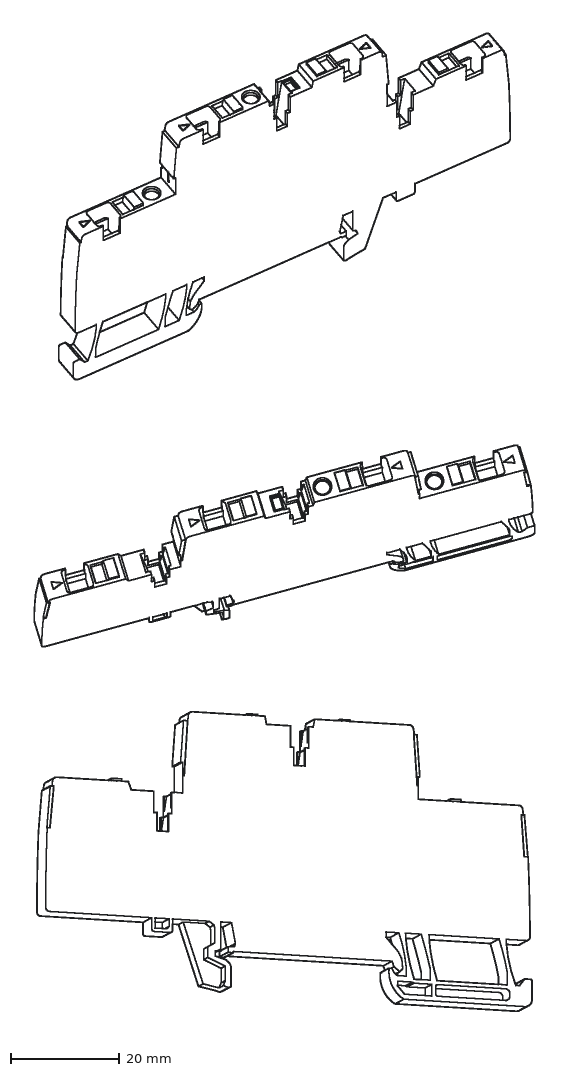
import cadquery as cq


THICKNESS = 5.1
NEAR_X = -THICKNESS / 2
FAR_X = THICKNESS / 2

UNDERSIDE = 12.4
RAIL_SEAT = 7.0
LOWER_TOP = 37.8
UPPER_TOP = 51.7
SHELF_DROP = 1.5
LOWER_SHELF = LOWER_TOP - SHELF_DROP
UPPER_SHELF = UPPER_TOP - SHELF_DROP
LOWER_HEAD_RISE = 0.6
UPPER_HEAD_RISE = 0.4
TOP_ROUND = 0.9
CORNER_ROUND = 0.8

WEB = 1.1
CATCH_WEB = 2.8
RELIEF_DEPTH = 0.2
PAD_TOP_DROP = 1.7
PAD_LENGTH = 7.9

NOTCH_MOUTH = 3.5
NOTCH_FOOT = 2.3
NOTCH_STEP_DEPTH = 4.0
NOTCH_DEPTH = 7.4
NOTCH_POCKET_MOUTH = 4.8
NOTCH_POCKET_DEPTH = 8.5
NOTCH_POCKET_OFFSET = 0.24
LOWER_NOTCH_Y = 24.6
UPPER_NOTCH_Y = -2.1

WELL_LENGTH = 4.5
WELL_WIDTH = 3.7
WELL_DEPTH = 6.65
HEAD_LENGTH = 2.0
HEAD_SLOPE = 0.3
BUTTON_FLOOR_DROP = 1.1
FUNNEL_START = 4.9
FUNNEL_END = 10.1
FUNNEL_SLOPE = 0.9
FUNNEL_INNER_SLOPE = 0.5
FUNNEL_WIDTH = 4.6
FUNNEL_PILLAR = 0.95
FUNNEL_MOUTH_DEPTH = 3.8
FUNNEL_DEPTH = 6.65
WIRE_HOLE_WIDTH = 3.6
FUNNEL_ROUND = 0.6
ARROW_TIP = 10.4
ARROW_BASE = 12.3
ARROW_WIDTH = 1.5
ARROW_DEPTH = 0.2

TERMINALS = [
    (32.4, 1, LOWER_TOP, LOWER_HEAD_RISE),
    (5.9, 1, UPPER_TOP, UPPER_HEAD_RISE),
    (-10.2, -1, UPPER_TOP, UPPER_HEAD_RISE),
    (-31.8, -1, LOWER_TOP, LOWER_HEAD_RISE),
]

TEST_HOLES = [(-7.3, UPPER_TOP), (-28.9, LOWER_TOP)]
TEST_HOLE_DIAMETER = 2.85
TEST_HOLE_MOUTH = 3.4
TEST_HOLE_DEPTH = 0.95


def slab(points, x_from=NEAR_X, x_to=FAR_X):
    """Prism along X over a closed outline of (y, z) points."""
    return cq.Workplane("YZ").workplane(offset=x_from).polyline(points).close().extrude(x_to - x_from)


def block(x_range, y_range, z_range):
    """Axis-aligned box from three (from, to) ranges."""
    sizes = [abs(end - start) for start, end in (x_range, y_range, z_range)]
    lows = [min(pair) for pair in (x_range, y_range, z_range)]
    return cq.Workplane("XY").box(*sizes, centered=False).translate(tuple(lows))


def centred(width):
    """Range of the given width about zero."""
    return (-width / 2, width / 2)


def edge_at(y, z, reach=0.1):
    """Selector for the edges along X that pass through (y, z)."""
    return cq.selectors.BoxSelector((-THICKNESS, y - reach, z - reach), (THICKNESS, y + reach, z + reach))


WING_ENDS = (47.5, -47.1)
LOWER_TOP_ENDS = (46.1, -45.6)
UPPER_TOP_ENDS = (19.6, -24.2)
UPPER_FLANKS = (20.7, -25.3)
TIER_OVERLAP_Z = 28.5
LOWER_PAD_TOP = LOWER_TOP - PAD_TOP_DROP
LOWER_PAD_BOTTOM = LOWER_PAD_TOP - PAD_LENGTH
UPPER_PAD_TOP = UPPER_TOP - PAD_TOP_DROP
UPPER_PAD_BOTTOM = UPPER_PAD_TOP - PAD_LENGTH


def lower_tier():
    """Long lower tier with tapered ends and the shelf beside the upper tier."""
    upper_outline = [
        (47.2, LOWER_PAD_BOTTOM), (46.5, LOWER_PAD_TOP),
        (46.25, LOWER_PAD_TOP), (LOWER_TOP_ENDS[0], LOWER_TOP),
        (31.3, LOWER_TOP), (30.8, LOWER_SHELF), (19.9, LOWER_SHELF), (19.9, LOWER_TOP),
        (LOWER_TOP_ENDS[1], LOWER_TOP), (-45.8, LOWER_PAD_TOP), (-46.1, LOWER_PAD_TOP),
        (-46.7, LOWER_PAD_BOTTOM),
    ]
    tier = (
        cq.Workplane("YZ").workplane(offset=NEAR_X)
        .polyline(upper_outline)
        .threePointArc((-47.0, 19.5), (WING_ENDS[1], UNDERSIDE))
        .lineTo(WING_ENDS[0], UNDERSIDE)
        .threePointArc((47.4, 22.3), (47.2, LOWER_PAD_BOTTOM))
        .close()
        .extrude(THICKNESS)
    )
    for y in WING_ENDS:
        tier = tier.edges(edge_at(y, UNDERSIDE)).fillet(CORNER_ROUND)
    for y in LOWER_TOP_ENDS:
        tier = tier.edges(edge_at(y, LOWER_TOP)).fillet(TOP_ROUND)
    return tier


def upper_tier():
    """Upper tier with a protruding marker pad on each end."""
    outline = [
        (UPPER_FLANKS[0], TIER_OVERLAP_Z), (UPPER_FLANKS[0], UPPER_PAD_BOTTOM),
        (21.1, UPPER_PAD_BOTTOM), (20.5, UPPER_PAD_TOP),
        (19.8, UPPER_PAD_TOP), (UPPER_TOP_ENDS[0], UPPER_TOP),
        (4.7, UPPER_TOP), (4.4, UPPER_SHELF), (-4.75, UPPER_SHELF), (-5.0, UPPER_TOP),
        (UPPER_TOP_ENDS[1], UPPER_TOP), (-24.5, UPPER_PAD_TOP), (-25.1, UPPER_PAD_TOP),
        (-25.6, UPPER_PAD_BOTTOM), (UPPER_FLANKS[1], UPPER_PAD_BOTTOM), (UPPER_FLANKS[1], TIER_OVERLAP_Z),
    ]
    tier = slab(outline)
    for y in UPPER_TOP_ENDS:
        tier = tier.edges(edge_at(y, UPPER_TOP)).fillet(TOP_ROUND)
    return tier


def marker_reliefs():
    """Shallow reliefs in the closed flank along the marker pads."""
    outlines = [
        [(45.9, LOWER_PAD_TOP), (46.6, LOWER_PAD_BOTTOM), (48.4, LOWER_PAD_BOTTOM), (48.4, LOWER_PAD_TOP)],
        [(19.8, UPPER_PAD_TOP), (20.4, 39.5), (21.8, 39.5), (21.8, UPPER_PAD_TOP)],
        [(-24.4, UPPER_PAD_TOP), (-25.1, 40.4), (-26.6, 40.4), (-26.6, UPPER_PAD_TOP)],
        [(-45.4, LOWER_PAD_TOP), (-46.0, LOWER_PAD_BOTTOM), (-47.5, LOWER_PAD_BOTTOM),
         (-47.5, LOWER_PAD_TOP)],
    ]
    return [slab(outline, NEAR_X, NEAR_X + RELIEF_DEPTH) for outline in outlines]


GROOVE_WIDTH = 0.5
GROOVE_DEPTH = 0.3
GROOVE_LENGTH = 3.1


def upper_end_groove():
    """Narrow upright groove below the marker pad at the -Y end of the upper tier."""
    end_face = UPPER_FLANKS[1]
    return block(
        centred(GROOVE_WIDTH), (end_face, end_face + GROOVE_DEPTH),
        (UPPER_PAD_BOTTOM - GROOVE_LENGTH, UPPER_PAD_BOTTOM),
    )


def bridge_notch(y, shelf):
    """Stepped notch across the shelf with a tapered pocket between its cheeks."""
    mouth_y = (y - NOTCH_MOUTH / 2, y + NOTCH_MOUTH / 2)
    foot_y = (y - NOTCH_FOOT / 2, y + NOTCH_FOOT / 2)
    mouth = block((NEAR_X, FAR_X), mouth_y, (shelf - NOTCH_STEP_DEPTH, shelf))
    foot = block((NEAR_X, FAR_X), foot_y, (shelf - NOTCH_DEPTH, shelf))
    pocket_y = y + NOTCH_POCKET_OFFSET
    pocket_floor = shelf - NOTCH_POCKET_DEPTH
    pocket_outline = [
        (pocket_y - NOTCH_POCKET_MOUTH / 2, shelf), (pocket_y + NOTCH_POCKET_MOUTH / 2, shelf),
        (pocket_y + NOTCH_FOOT / 2, pocket_floor), (pocket_y - NOTCH_FOOT / 2, pocket_floor),
    ]
    pocket = slab(pocket_outline, -WELL_WIDTH / 2, WELL_WIDTH / 2)
    return mouth.union(foot).union(pocket)


SHELF_POCKET_X = (-1.4, 1.1)
SHELF_POCKET_Y = (0.7, 2.2)
SHELF_POCKET_DEPTH = 0.95
RIM_STEP = 0.3


def shelf_pocket():
    """Small rectangular pocket in the upper shelf with a stepped rim."""
    left, right = SHELF_POCKET_X
    front, back = SHELF_POCKET_Y
    pocket = block(SHELF_POCKET_X, SHELF_POCKET_Y, (UPPER_SHELF - SHELF_POCKET_DEPTH, UPPER_SHELF))
    rim = block(
        (left - RIM_STEP, right + RIM_STEP), (front - RIM_STEP, back + RIM_STEP),
        (UPPER_SHELF - RIM_STEP, UPPER_SHELF),
    )
    return pocket.union(rim)


BLOCK_ROOT = 13.3


def rail_block():
    """Part of the block that sits on the rail, with the fixed hook at its -Y end."""
    outline = [
        (11.2, BLOCK_ROOT), (11.2, UNDERSIDE), (10.4, 8.5), (10.6, 8.0), (11.9, 7.9), (11.9, 6.8),
        (10.9, 6.7), (10.7, RAIL_SEAT), (-20.1, RAIL_SEAT), (-20.5, 6.0), (-21.7, 5.1), (-22.2, 5.7),
        (-22.0, 7.6), (-21.4, 8.8), (-19.0, 11.5), (-19.0, BLOCK_ROOT),
    ]
    return slab(outline)


CATCH_LIP = (11.3, 4.6)
CATCH_LIP_ROUND = 1.1


def rail_catch():
    """Catch at the +Y side of the rail: a thick hooked strip on a thinner web."""
    strip = [
        (13.3, BLOCK_ROOT), (13.3, 7.3), (13.9, 6.9), (14.3, 6.9), (14.3, 6.0), (12.3, 5.4), CATCH_LIP,
        (11.3, 0.4), (11.8, 0.2), (12.8, 0.5), (12.4, 1.4), (12.4, 4.2), (15.9, 5.6), (15.9, 7.6), (14.4, 8.45),
        (14.4, 11.1), (14.6, 11.8), (15.6, UNDERSIDE), (15.6, BLOCK_ROOT),
    ]
    web = [
        (19.85, UNDERSIDE), (16.0, 1.0), (12.8, 0.5), (12.4, 1.4), (12.4, 4.2), (14.3, 6.0), (13.9, 7.3),
        (13.9, UNDERSIDE),
    ]
    rounded_strip = slab(strip).edges(edge_at(*CATCH_LIP)).fillet(CATCH_LIP_ROUND)
    return rounded_strip.union(slab(web, FAR_X - CATCH_WEB, FAR_X))


BOSS_Y = (22.7, 26.8)
BOSS_BOTTOM = 9.9
BOSS_WALL = 0.7
BOSS_ROUND = 0.5


def bottom_boss():
    """Rounded boss under the +Y wing with a recess in its closed flank."""
    boss = block((NEAR_X, FAR_X), BOSS_Y, (BOSS_BOTTOM, UNDERSIDE)).edges("|X and <Z").fillet(BOSS_ROUND)
    inner_y = BOSS_Y[0] + BOSS_WALL
    recess_bottom = BOSS_BOTTOM + BOSS_WALL
    recess = block((NEAR_X, FAR_X - WEB), (inner_y, BOSS_Y[1] - BOSS_WALL), (recess_bottom, UNDERSIDE))
    return boss.cut(recess.edges(edge_at(inner_y, recess_bottom)).chamfer(BOSS_ROUND))


FOOT_FLOOR = 3.9
LEG_ROOT = 3.8
LEG_ANKLE = 6.2
LEG_MIDDLE = 9.5
LEG_NECK = 11.9
FOOT_END = -47.5
GRIP_TOP = 5.2
FOOT_ROUND = 1.4
GRIP_ROUND = 0.4


def foot_bar():
    """Flexible rail foot: curved nose, flat underside and an upturned grip."""
    bar = (
        cq.Workplane("YZ").workplane(offset=NEAR_X)
        .moveTo(-22.4, 0.0)
        .threePointArc((-20.4, 1.9), (-19.6, 5.7))
        .lineTo(-20.1, 5.7)
        .threePointArc((-20.6, 4.8), (-21.3, 4.4))
        .lineTo(-22.8, 4.4)
        .lineTo(-24.2, FOOT_FLOOR)
        .lineTo(-45.0, FOOT_FLOOR)
        .lineTo(-46.1, GRIP_TOP)
        .lineTo(FOOT_END, GRIP_TOP)
        .lineTo(FOOT_END, 0.0)
        .close()
        .extrude(THICKNESS)
    )
    bar = bar.edges(edge_at(FOOT_END, 0.0)).fillet(FOOT_ROUND)
    return bar.edges(edge_at(FOOT_END, GRIP_TOP)).fillet(GRIP_ROUND)


def foot_leg(near_top, near_middle, near_foot, far_foot, far_middle, far_top):
    """Thin curved leg; the Y values run down its +Y side, then up its -Y side."""
    return (
        cq.Workplane("YZ").workplane(offset=NEAR_X)
        .moveTo(near_top, UNDERSIDE)
        .threePointArc((near_middle, LEG_MIDDLE), (near_foot, LEG_ANKLE))
        .lineTo(near_foot, LEG_ROOT)
        .lineTo(far_foot, LEG_ROOT)
        .threePointArc((far_middle, LEG_MIDDLE), (far_top, LEG_NECK))
        .lineTo(far_top, UNDERSIDE)
        .close()
        .extrude(THICKNESS)
    )


def foot_legs():
    """The three legs that carry the foot."""
    return [
        foot_leg(-21.5, -22.3, -22.9, -24.5, -23.1, -22.8),
        foot_leg(-25.8, -26.7, -27.5, -29.0, -27.6, -27.35),
        foot_leg(-41.0, -41.9, -42.6, -44.35, -42.7, -42.45),
    ]


FOOT_RECESS_Z = (0.95, 3.1)
LONG_RECESS_ROUND = 0.9


def foot_recesses():
    """Two long recesses in the closed flank of the foot bar."""
    long_recess = block((NEAR_X, FAR_X - WEB), (-43.1, -28.7), FOOT_RECESS_Z)
    long_recess = long_recess.edges("|X and <Y").fillet(LONG_RECESS_ROUND)
    long_recess = long_recess.edges("|X and >Y").fillet(GRIP_ROUND)
    bottom, top = FOOT_RECESS_Z
    nose_outline = [
        (-27.9, bottom), (-22.6, bottom), (-21.2, 2.5), (-21.3, 3.3), (-24.1, 3.3), (-24.4, top),
        (-27.9, top),
    ]
    return long_recess.union(slab(nose_outline, NEAR_X, FAR_X - WEB))


def wire_funnel(inner_y, outward, top):
    """Wire entry: a tapered mouth with a window in the far flank, above a rectangular wire hole."""
    start = inner_y + outward * FUNNEL_START
    end = inner_y + outward * FUNNEL_END
    foot_start = start + outward * FUNNEL_INNER_SLOPE
    foot_end = end - outward * FUNNEL_SLOPE
    mouth_floor = top - FUNNEL_MOUTH_DEPTH
    mouth = slab(
        [(start, top), (end, top), (foot_end, mouth_floor), (foot_start, mouth_floor)],
        -FUNNEL_WIDTH / 2, FUNNEL_WIDTH / 2,
    )
    mouth = mouth.edges("not(|X or |Y)").fillet(FUNNEL_ROUND)
    window_y = (start + outward * FUNNEL_ROUND, end - outward * FUNNEL_PILLAR)
    window = block((0, FAR_X), window_y, (mouth_floor, top))
    hole = block(centred(WIRE_HOLE_WIDTH), (foot_start, foot_end), (top - FUNNEL_DEPTH, mouth_floor))
    return mouth.union(window).union(hole)


def direction_arrow(inner_y, outward, top):
    """Shallow triangular recess pointing at the wire entry."""
    tip = inner_y + outward * ARROW_TIP
    base = inner_y + outward * ARROW_BASE
    triangle = [(0, tip), (ARROW_WIDTH / 2, base), (-ARROW_WIDTH / 2, base)]
    floor = cq.Workplane("XY").workplane(offset=top - ARROW_DEPTH)
    return floor.polyline(triangle).close().extrude(ARROW_DEPTH)


def button_well(inner_y, outward, top):
    """Rectangular well that holds a push button."""
    outer_y = inner_y + outward * WELL_LENGTH
    return block(centred(WELL_WIDTH), (inner_y, outer_y), (top - WELL_DEPTH, top))


def push_button(inner_y, outward, top, head_rise):
    """Push button filling its well, with a raised head at the inner end."""
    head_y = inner_y + outward * HEAD_LENGTH
    slope_y = head_y + outward * HEAD_SLOPE
    outer_y = inner_y + outward * WELL_LENGTH
    floor = top - BUTTON_FLOOR_DROP
    outline = [
        (inner_y, top - WELL_DEPTH), (inner_y, top + head_rise), (head_y, top + head_rise),
        (slope_y, floor), (outer_y, floor), (outer_y, top - WELL_DEPTH),
    ]
    return slab(outline, -WELL_WIDTH / 2, WELL_WIDTH / 2)


def test_hole(y, top):
    """Round test hole with a bevelled mouth."""
    bevel = (TEST_HOLE_MOUTH - TEST_HOLE_DIAMETER) / 2
    bottom = cq.Workplane("XY").workplane(offset=top - TEST_HOLE_DEPTH).center(0, y)
    shaft = bottom.circle(TEST_HOLE_DIAMETER / 2).extrude(TEST_HOLE_DEPTH)
    mouth = (
        cq.Workplane("XY").workplane(offset=top - bevel).center(0, y).circle(TEST_HOLE_DIAMETER / 2)
        .workplane(offset=bevel).circle(TEST_HOLE_MOUTH / 2).loft()
    )
    return shaft.union(mouth)


def build_housing():
    housing = lower_tier().union(upper_tier())
    for part in (rail_block(), rail_catch(), bottom_boss(), foot_bar(), *foot_legs()):
        housing = housing.union(part)
    housing = housing.cut(upper_end_groove()).cut(foot_recesses()).cut(shelf_pocket())
    for relief in marker_reliefs():
        housing = housing.cut(relief)
    for y, shelf in ((LOWER_NOTCH_Y, LOWER_SHELF), (UPPER_NOTCH_Y, UPPER_SHELF)):
        housing = housing.cut(bridge_notch(y, shelf))
    for y, top in TEST_HOLES:
        housing = housing.cut(test_hole(y, top))
    for inner_y, outward, top, _ in TERMINALS:
        for opening in (wire_funnel, direction_arrow, button_well):
            housing = housing.cut(opening(inner_y, outward, top))
    return housing


housing = build_housing()
buttons = [push_button(*terminal) for terminal in TERMINALS]

result = cq.Compound.makeCompound([housing.val(), *[button.val() for button in buttons]])